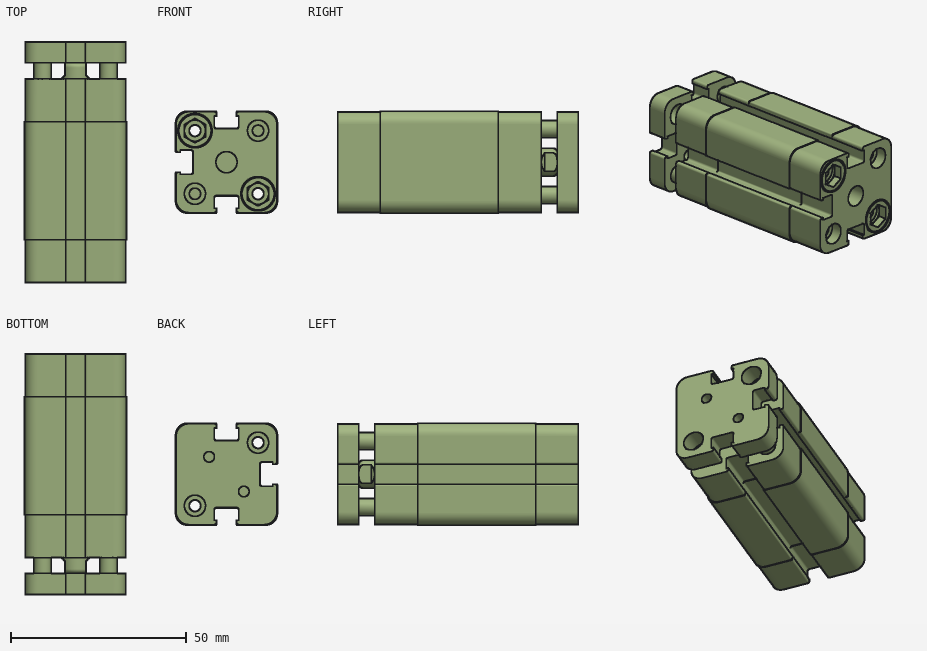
import cadquery as cq
import math


total_length = 68.5
cap_length = 12.2
plate_thickness = 6.0
rod_gap = 4.5
body_length = total_length - plate_thickness - rod_gap
barrel_length = body_length - 2 * cap_length
plate_start = total_length - plate_thickness

barrel_width = 29.05
barrel_step = 0.2
cap_width = barrel_width - 2 * barrel_step
corner_radius = 3.5

slot_half_opening = 2.8
slot_half_width = 3.4
lip_underside = 13.1
cap_slot_floor = 9.45
barrel_slot_floor = cap_slot_floor + barrel_step
cap_floor_radius = 0.6
barrel_floor_radius = cap_floor_radius - barrel_step
cap_lip_radius = 0.6
barrel_lip_radius = cap_lip_radius - barrel_step
slotted_side_angles = (0, 90, 180)

hole_offset = 9.0
through_diameter = 3.2
counterbore_diameter = 6.0
counterbore_depth = 3.5
center_hole_diameter = 6.0
center_hole_depth = 6.0
bolt_corners = ((-hole_offset, hole_offset), (hole_offset, -hole_offset))
rod_side_corners = ((-hole_offset, -hole_offset), (hole_offset, hole_offset))

plate_hole_diameter = 6.0
plate_pin_hole_diameter = 3.0
plate_pin_hole_offset = 4.9

bushing_diameter = 9.2
bushing_recess_diameter = 9.8
bushing_gap_depth = 0.4
hex_across_flats = 6.0
hex_depth = 2.55
socket_bore_depth = 3.5

guide_rod_diameter = 5.0
guide_rod_offset = 9.4
piston_rod_diameter = 8.0
piston_tip_radius = 1.2
piston_across_flats = 6.0
flat_ramp_height = (piston_rod_diameter - piston_across_flats) / 2


def section_plane(y):
    """Plane facing +Y at the given y, with local axes along -X and +Z."""
    return cq.Workplane(cq.Plane(origin=(0, y, 0), xDir=(-1, 0, 0), normal=(0, 1, 0)))


def cylinder(diameter, start, length, x=0.0, z=0.0):
    axis_start = cq.Vector(x, start, z)
    return cq.Workplane(cq.Solid.makeCylinder(diameter / 2, length, axis_start, cq.Vector(0, 1, 0)))


def slot_cutter(half_width, floor, floor_radius, lip_radius, start, length):
    """T-slot in the +Z side whose mouth flares out through rounded lips."""
    arc_center_x = slot_half_opening + lip_radius
    arc_center_z = half_width - lip_radius
    arc_mid_x = arc_center_x - lip_radius * math.cos(math.pi / 4)
    arc_mid_z = arc_center_z + lip_radius * math.sin(math.pi / 4)
    mouth = (
        section_plane(start)
        .moveTo(-slot_half_opening, floor)
        .lineTo(-slot_half_opening, arc_center_z)
        .threePointArc((-arc_mid_x, arc_mid_z), (-arc_center_x, half_width))
        .lineTo(arc_center_x, half_width)
        .threePointArc((arc_mid_x, arc_mid_z), (slot_half_opening, arc_center_z))
        .lineTo(slot_half_opening, floor)
        .close()
        .extrude(length)
    )
    slot_height = lip_underside - floor
    channel = (
        section_plane(start)
        .center(0, floor + slot_height / 2)
        .rect(2 * slot_half_width, slot_height)
        .extrude(length)
        .edges("|Y and <Z")
        .fillet(floor_radius)
    )
    return mouth.union(channel)


def slotted_block(width, floor, floor_radius, lip_radius, start, length):
    """Rounded square prism with a T-slot on the top, left and bottom sides."""
    block = section_plane(start).rect(width, width).extrude(length).edges("|Y").fillet(corner_radius)
    cutter = slot_cutter(width / 2, floor, floor_radius, lip_radius, start, length)
    for angle in slotted_side_angles:
        block = block.cut(cutter.rotate((0, 0, 0), (0, 1, 0), -angle))
    return block


def cap_block(start, length):
    return slotted_block(cap_width, cap_slot_floor, cap_floor_radius, cap_lip_radius, start, length)


def make_body():
    """Two end caps joined by the barrel."""
    barrel = slotted_block(
        barrel_width,
        barrel_slot_floor,
        barrel_floor_radius,
        barrel_lip_radius,
        cap_length,
        barrel_length,
    )
    return cap_block(0, cap_length).union(barrel).union(cap_block(body_length - cap_length, cap_length))


def cut_body_holes(body):
    body = body.cut(cylinder(center_hole_diameter, 0, center_hole_depth))
    for x, z in bolt_corners + rod_side_corners:
        body = body.cut(cylinder(through_diameter, 0, body_length, x, z))
    for x, z in rod_side_corners:
        body = body.cut(cylinder(counterbore_diameter, 0, counterbore_depth, x, z))
    for x, z in bolt_corners:
        body = cut_socket_bushing(body, x, z)
    return body


def cut_socket_bushing(body, x, z):
    """Ring groove around the bushing, hexagon socket and the round bore below it."""
    groove = cylinder(bushing_recess_diameter, 0, bushing_gap_depth, x, z).cut(
        cylinder(bushing_diameter, 0, bushing_gap_depth, x, z)
    )
    hex_across_corners = hex_across_flats / math.cos(math.pi / 6)
    socket = (
        cq.Workplane("XZ")
        .polygon(6, hex_across_corners)
        .extrude(-hex_depth)
        .rotate((0, 0, 0), (0, 1, 0), 30)
        .translate((x, 0, z))
    )
    bore = cylinder(hex_across_flats, 0, socket_bore_depth, x, z)
    return body.cut(groove).cut(socket).cut(bore)


def make_piston_rod():
    """Round rod with a rounded tip and two side flats ending in 45 degree ramps."""
    radius = piston_rod_diameter / 2
    rod = cylinder(piston_rod_diameter, body_length, rod_gap).faces(">Y").edges().fillet(piston_tip_radius)
    half_flats = piston_across_flats / 2
    flat_cut = (
        cq.Workplane("XY")
        .moveTo(radius, body_length)
        .lineTo(half_flats, body_length + flat_ramp_height)
        .lineTo(half_flats, plate_start)
        .lineTo(radius, plate_start)
        .close()
        .extrude(radius, both=True)
    )
    return rod.cut(flat_cut).cut(flat_cut.mirror("YZ"))


def make_guide_rods():
    rods = cq.Workplane("XY")
    for side in (-1, 1):
        offset = side * guide_rod_offset
        rods = rods.add(cylinder(guide_rod_diameter, body_length, rod_gap, offset, offset))
    return rods.combine()


def make_plate():
    plate = cap_block(plate_start, plate_thickness)
    for x, z in bolt_corners:
        plate = plate.cut(cylinder(plate_hole_diameter, plate_start, plate_thickness, x, z))
    for side in (-1, 1):
        offset = side * plate_pin_hole_offset
        plate = plate.cut(
            cylinder(plate_pin_hole_diameter, plate_start, plate_thickness, offset, offset)
        )
    return plate


body = cut_body_holes(make_body())
result = body.union(make_guide_rods()).union(make_piston_rod()).union(make_plate())